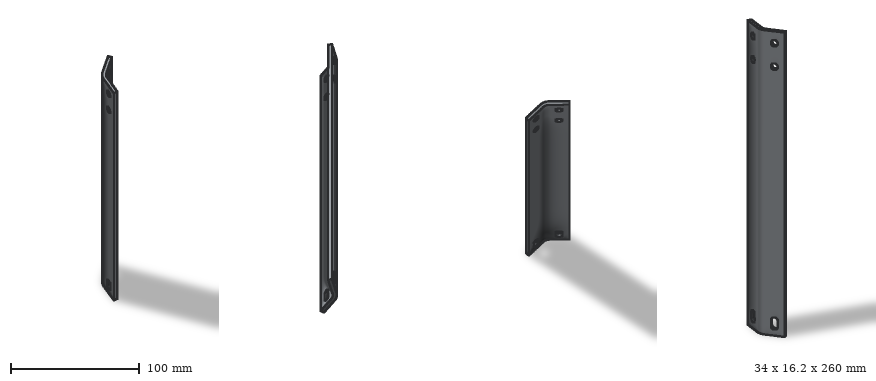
import cadquery as cq
import math

length = 260.0
width = 34.0

thickness = 3.0
inner_radius = 6.5
outer_radius = inner_radius + thickness
bend_angle = 45.0
bend = math.radians(bend_angle)

flange = (width - outer_radius * math.sin(bend)) / (1 + math.cos(bend))

edge_offset = 8.3
hole_diameter = 5.5
top_hole_offset = 10.1
hole_spacing = 20.0
slot_length = 10.5
slot_offset = 10.5
cut_depth = 2 * thickness
hole_heights = [length - top_hole_offset, length - top_hole_offset - hole_spacing]


def bend_point(radius, angle):
    """Point on an arc about the bend axis, starting at the straight flange."""
    return (-radius * math.sin(angle), outer_radius - radius * math.cos(angle))


def along_sloped_flange(point, distance):
    """Move a point along the sloped flange, away from the bend."""
    return (point[0] - distance * math.cos(bend), point[1] + distance * math.sin(bend))


def bent_sheet():
    """Extrude the bent cross-section; the bend starts at X = 0, Y = 0."""
    outer_end = bend_point(outer_radius, bend)
    inner_end = bend_point(inner_radius, bend)
    return (
        cq.Workplane("XY")
        .moveTo(flange, 0)
        .lineTo(0, 0)
        .threePointArc(bend_point(outer_radius, bend / 2), outer_end)
        .lineTo(*along_sloped_flange(outer_end, flange))
        .lineTo(*along_sloped_flange(inner_end, flange))
        .lineTo(*inner_end)
        .threePointArc(bend_point(inner_radius, bend / 2), (0, thickness))
        .lineTo(flange, thickness)
        .close()
        .extrude(length)
    )


def flange_cutter(center, normal):
    """Two round holes and a slot, cut through a flange along its normal."""
    plane = cq.Plane(
        origin=(center[0], center[1], 0),
        xDir=(-normal[1], normal[0], 0),
        normal=(normal[0], normal[1], 0),
    )
    holes = (
        cq.Workplane(plane)
        .pushPoints([(0, height) for height in hole_heights])
        .circle(hole_diameter / 2)
        .extrude(cut_depth / 2, both=True)
    )
    slot = (
        cq.Workplane(plane)
        .center(0, slot_offset)
        .slot2D(slot_length, hole_diameter, 90)
        .extrude(cut_depth / 2, both=True)
    )
    return holes.union(slot)


mid_radius = (inner_radius + outer_radius) / 2
straight_center = (flange - edge_offset, thickness / 2)
sloped_center = along_sloped_flange(bend_point(mid_radius, bend), flange - edge_offset)

result = (
    bent_sheet()
    .cut(flange_cutter(straight_center, (0, 1)))
    .cut(flange_cutter(sloped_center, (math.sin(bend), math.cos(bend))))
)